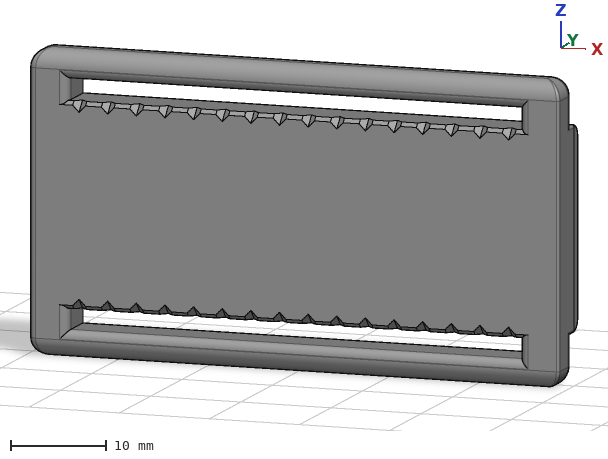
import cadquery as cq
import math

LENGTH = 58.8
HEIGHT = 32.8
THICKNESS = 6.25

FRAME_DEPTH = 4.8
FRAME_ROUND = 2.0
REAR_ROUND = 1.95
FRONT_LEFT_ROUND = 0.75
RIGHT_END_ROUND = 0.3

COVER_HEIGHT = 22.15
COVER_DEPTH = THICKNESS - FRAME_DEPTH
COVER_ROUND = COVER_DEPTH
COVER_CORNER_ROUND = 1.6
SHOULDER_DEPTH = FRAME_DEPTH / 2

SLOT_LENGTH = 50.1
SLOT_INNER_Z = COVER_HEIGHT / 2
SLOT_OUTER_Z = 13.4
SLOT_ROUND = 0.95
SLOT_CHAMFER = 0.4

NOTCH_COUNT = 16
NOTCH_PITCH = 3.2
NOTCH_DEPTH = 1.1

ARC_MIDDLE = 1 - math.sqrt(0.5)


def block(height, y_front, y_rear):
    """Plain block over the whole length, from y_front to y_rear."""
    return (
        cq.Workplane("XY")
        .box(LENGTH, y_rear - y_front, height, centered=(True, False, True))
        .translate((0, y_front, 0))
    )


def frame_space():
    """Everything in front of the plane where the frame and the cover meet."""
    return block(HEIGHT, 0, FRAME_DEPTH)


def frame_plate():
    """Plate rounded around its rear face and along its front edges."""
    plate = block(HEIGHT, 0, FRAME_DEPTH).edges("|Y").fillet(FRAME_ROUND)
    plate = plate.faces(">Y").edges().fillet(REAR_ROUND)
    long_edges = block(HEIGHT, 0, FRAME_DEPTH).faces("<Y").edges("|X").fillet(FRAME_ROUND)
    plate = plate.intersect(long_edges)
    plate = plate.faces("<Y").edges("<X").fillet(FRONT_LEFT_ROUND)
    return plate.faces("<Y").edges(">X").fillet(RIGHT_END_ROUND)


def raised_block():
    """Block at the back; its front part is the frame shoulder and its rear part is the cover."""
    raised = block(COVER_HEIGHT, FRAME_DEPTH - SHOULDER_DEPTH, THICKNESS)
    raised = raised.edges("<X and |Y").fillet(COVER_CORNER_ROUND)
    raised = raised.faces(">Y").edges("not >X").fillet(COVER_ROUND)
    return raised.faces(">X").edges("not <Y").fillet(RIGHT_END_ROUND)


def upper_slot():
    """Through slot whose front rim is rounded on three sides and chamfered on the inner side."""
    half = SLOT_LENGTH / 2
    middle = SLOT_ROUND * ARC_MIDDLE
    plan = (
        cq.Workplane("XY")
        .moveTo(-half - SLOT_ROUND, 0)
        .threePointArc((-half - middle, middle), (-half, SLOT_ROUND))
        .lineTo(-half, FRAME_DEPTH)
        .lineTo(half, FRAME_DEPTH)
        .lineTo(half, SLOT_ROUND)
        .threePointArc((half + middle, middle), (half + SLOT_ROUND, 0))
        .close()
        .extrude(HEIGHT)
    )
    section = (
        cq.Workplane("YZ")
        .moveTo(0, SLOT_INNER_Z - SLOT_CHAMFER)
        .lineTo(SLOT_CHAMFER, SLOT_INNER_Z)
        .lineTo(FRAME_DEPTH, SLOT_INNER_Z)
        .lineTo(FRAME_DEPTH, SLOT_OUTER_Z)
        .lineTo(SLOT_ROUND, SLOT_OUTER_Z)
        .threePointArc((middle, SLOT_OUTER_Z + middle), (0, SLOT_OUTER_Z + SLOT_ROUND))
        .close()
        .extrude(LENGTH / 2, both=True)
    )
    return plan.intersect(section)


def upper_notch(x):
    """Three-sided pocket with its corner at the front inner edge of the slot."""
    edge = cq.Vector(x, 0, SLOT_INNER_Z)
    left = edge + cq.Vector(-NOTCH_DEPTH, 0, 0)
    right = edge + cq.Vector(NOTCH_DEPTH, 0, 0)
    front_tip = edge + cq.Vector(0, 0, -NOTCH_DEPTH)
    wall_tip = edge + cq.Vector(0, NOTCH_DEPTH, 0)
    triangles = [
        (left, right, front_tip),
        (left, right, wall_tip),
        (left, front_tip, wall_tip),
        (right, front_tip, wall_tip),
    ]
    faces = [cq.Face.makeFromWires(cq.Wire.makePolygon(list(t), close=True)) for t in triangles]
    return cq.Workplane(cq.Solid.makeSolid(cq.Shell.makeShell(faces)))


def make_frame():
    """Plate and shoulder in one, with slots and notches mirrored about the middle height."""
    cutters = [upper_slot()]
    for index in range(NOTCH_COUNT):
        x = (index - (NOTCH_COUNT - 1) / 2) * NOTCH_PITCH
        cutters.append(upper_notch(x))
    body = frame_plate().union(raised_block().intersect(frame_space()))
    for cutter in cutters:
        body = body.cut(cutter).cut(cutter.mirror("XY"))
    return body


def make_cover():
    """Bar seated flat on the back of the frame shoulder."""
    return raised_block().cut(frame_space())


frame = make_frame()
cover = make_cover()

result = cq.Compound.makeCompound([*frame.solids().vals(), *cover.solids().vals()])